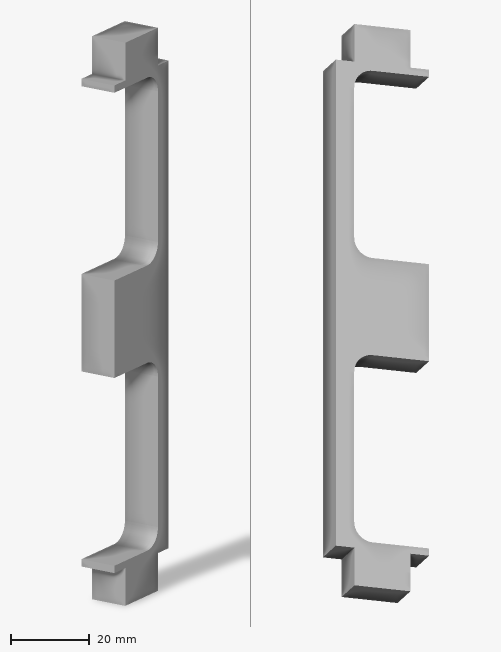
import cadquery as cq

thickness = 10.0
depth = 25.0
height = 150.0

tab_height = 10.0
tab_depth = 15.0
spine_depth = 5.0
lip_thickness = 2.0
block_height = 26.0
corner_radius = 5.0

body_height = height - 2 * tab_height
window_height = (body_height - block_height) / 2 - lip_thickness
window_depth = depth - spine_depth
window_center_z = (block_height + window_height) / 2


def make_window(center_z):
    """Cutter open towards -Y, with rounded corners against the spine."""
    return (
        cq.Workplane("XY")
        .box(thickness, window_depth, window_height)
        .edges("|X and >Y")
        .fillet(corner_radius)
        .translate((0, -spine_depth / 2, center_z))
    )


body = cq.Workplane("XY").box(thickness, depth, body_height)
tabs = cq.Workplane("XY").box(thickness, tab_depth, height)
result = body.union(tabs)

for side in (-1, 1):
    result = result.cut(make_window(side * window_center_z))